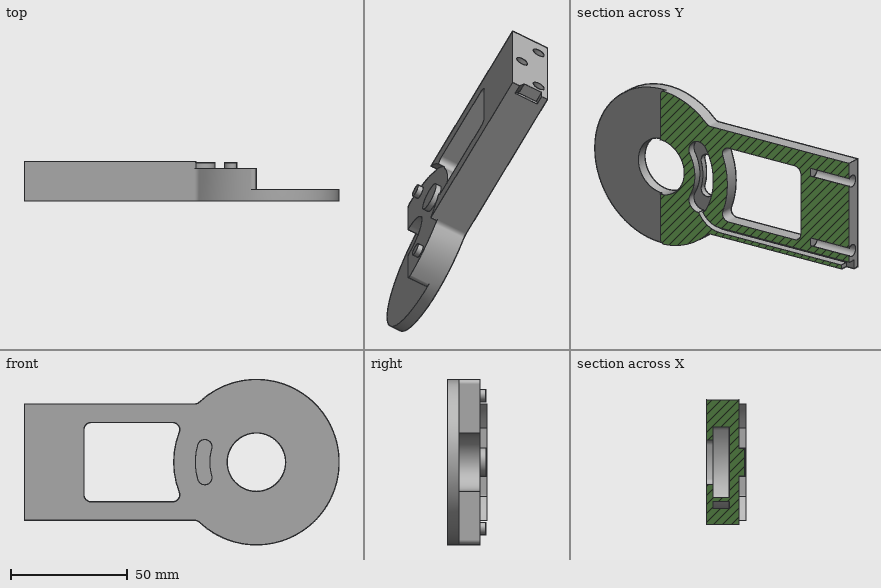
import cadquery as cq
import math


total_length = 135.0
disc_radius = 35.5
bore_diameter = 25.0
arm_height = 50.0
arm_depth = 17.0
hub_depth = 14.0
plate_depth = 5.0
step_radius = 36.0
neck_fillet = 3.0
hub_end_fillet = 2.0
arm_end_x = disc_radius - total_length

window_offset = 25.6
window_height = 33.9
window_fillet = 3.0

slot_radius = 23.1
slot_half_width = 3.1
slot_half_angle = 16.6
cavity_half_width = 4.7
cavity_half_angle = 30.0
lip_depth = 2.8
cavity_floor = 9.7

channel_height = 2.0
bend_radius = 12.5
bend_wall_x = -18.9

relief_radius = 5.0
relief_center_y = 11.9

notch_length = 4.0
notch_height = 4.0
notch_top_y = 11.3
notch_slope = 30.0

end_hole_diameter = 5.3
end_hole_depth = 20.2
end_hole_centers = [(4.3, 16.0), (4.3, -16.0), (12.4, 0.0)]

boss_top = 16.5
pad_radius = 6.1
pad_center = (-23.8, 0.0)
pin_radius = 2.7
pin_centers = [(-11.1, 28.5), (-11.1, -28.5)]


def sketch_at(y):
    """XZ workplane at depth y."""
    return cq.Workplane("XZ", origin=(0, y, 0))


def deepen(outline, depth):
    """Extrude an XZ outline towards +Y."""
    return outline.extrude(-depth)


def block(x_min, x_max, y_min, y_max, z_min, z_max):
    size = (x_max - x_min, y_max - y_min, z_max - z_min)
    return cq.Workplane("XY").box(*size, centered=False).translate((x_min, y_min, z_min))


def cylinder(radius, y_min, y_max, center=(0.0, 0.0)):
    return deepen(sketch_at(y_min).center(*center).circle(radius), y_max - y_min)


def curved_slot(half_width, half_angle, y_min, y_max):
    """Round-ended slot following an arc about the disc axis on the arm side."""
    def polar(radius, degrees):
        angle = math.radians(degrees)
        return (-radius * math.cos(angle), radius * math.sin(angle))

    outer = slot_radius + half_width
    inner = slot_radius - half_width
    cap_angle = half_angle + math.degrees(half_width / slot_radius)
    outline = (
        sketch_at(y_min)
        .moveTo(*polar(outer, -half_angle))
        .threePointArc(polar(outer, 0), polar(outer, half_angle))
        .threePointArc(polar(slot_radius, cap_angle), polar(inner, half_angle))
        .threePointArc(polar(inner, 0), polar(inner, -half_angle))
        .threePointArc(polar(slot_radius, -cap_angle), polar(outer, -half_angle))
        .close()
    )
    return deepen(outline, y_max - y_min)


def make_body():
    half = arm_height / 2
    arm = block(arm_end_x, 0, 0, arm_depth, -half, half)
    neck_x = -math.sqrt(disc_radius**2 - half**2)
    margin = 0.7
    neck_edges = cq.selectors.BoxSelector(
        (neck_x - margin, -margin, -half - margin),
        (neck_x + margin, arm_depth + margin, half + margin),
    )
    body = cylinder(disc_radius, 0, arm_depth).union(arm)
    body = body.edges("|Y").edges(neck_edges).fillet(neck_fillet)

    body = body.cut(cylinder(step_radius, hub_depth, arm_depth))
    body = body.cut(block(0, step_radius, plate_depth, arm_depth, -step_radius, step_radius))

    for side in (-1, 1):
        corner = (0, (plate_depth + hub_depth) / 2, side * disc_radius)
        body = body.edges(cq.selectors.NearestToPointSelector(corner)).fillet(hub_end_fillet)
    return body.cut(cylinder(bore_diameter / 2, 0, arm_depth))


def make_window():
    """Rectangular opening whose disc side follows the disc rim."""
    left = arm_end_x + window_offset
    half = window_height / 2
    opening = block(left, 0, 0, arm_depth, -half, half)
    return opening.cut(cylinder(disc_radius, 0, arm_depth)).edges("|Y").fillet(window_fillet)


def make_notch():
    bottom = -arm_height / 2
    top = bottom + notch_height
    bottom_y = notch_top_y + notch_height * math.tan(math.radians(notch_slope))
    outline = [(lip_depth, bottom), (lip_depth, top), (notch_top_y, top), (bottom_y, bottom)]
    return cq.Workplane("YZ", origin=(arm_end_x, 0, 0)).polyline(outline).close().extrude(notch_length)


def make_channel():
    top = -arm_height / 2 + notch_height
    floor = top - channel_height
    start_x = arm_end_x + notch_length
    bend_x = bend_wall_x - bend_radius
    bend_z = floor + bend_radius
    inner_radius = bend_radius - channel_height
    diagonal = math.sqrt(0.5)
    outline = (
        sketch_at(lip_depth)
        .moveTo(start_x, floor)
        .lineTo(bend_x, floor)
        .threePointArc(
            (bend_x + bend_radius * diagonal, bend_z - bend_radius * diagonal),
            (bend_wall_x, bend_z),
        )
        .lineTo(bend_x + inner_radius, bend_z)
        .threePointArc(
            (bend_x + inner_radius * diagonal, bend_z - inner_radius * diagonal),
            (bend_x, top),
        )
        .lineTo(start_x, top)
        .close()
    )
    return deepen(outline, cavity_floor - lip_depth)


def make_channel_relief():
    """Quarter-round widening of the channel where it opens into the notch."""
    mouth_x = arm_end_x + notch_length
    top = -arm_height / 2 + notch_height
    floor = top - channel_height
    relief = (
        cq.Workplane("XY", origin=(mouth_x, relief_center_y, floor))
        .circle(relief_radius)
        .extrude(channel_height)
    )
    return relief.intersect(
        block(mouth_x, mouth_x + relief_radius, lip_depth, relief_center_y, floor, top)
    )


def make_end_holes():
    return (
        cq.Workplane("YZ", origin=(arm_end_x, 0, 0))
        .pushPoints(end_hole_centers)
        .circle(end_hole_diameter / 2)
        .extrude(end_hole_depth)
    )


result = make_body().cut(make_window())
result = result.cut(curved_slot(slot_half_width, slot_half_angle, 0, lip_depth))
result = result.cut(curved_slot(cavity_half_width, cavity_half_angle, lip_depth, cavity_floor))
for void in (make_channel(), make_channel_relief(), make_notch(), make_end_holes()):
    result = result.cut(void)
result = result.union(cylinder(pad_radius, hub_depth, boss_top, pad_center))
for pin_center in pin_centers:
    result = result.union(cylinder(pin_radius, hub_depth, boss_top, pin_center))